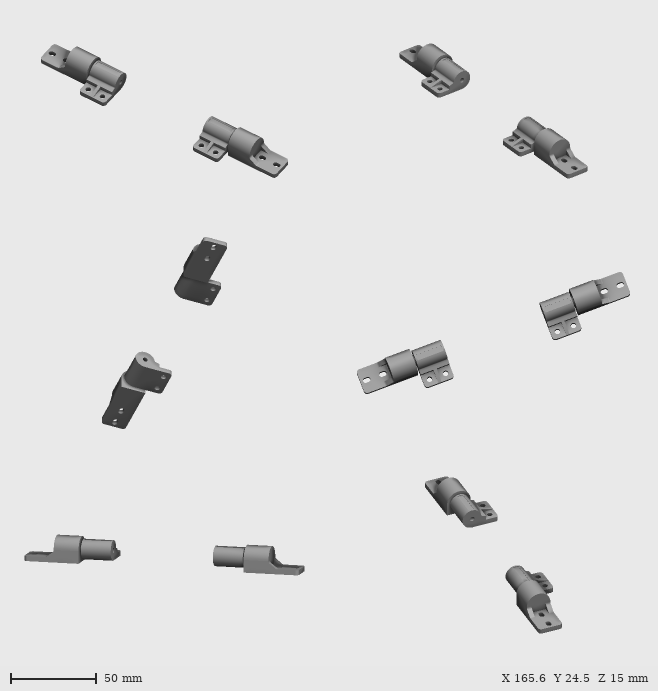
import cadquery as cq

OVERALL_LENGTH = 165.62
GAP = 1.0

HOUSING_LENGTH = 33.0
HOUSING_WIDTH = 15.0
HOUSING_HEIGHT = 15.0
BLOCK_LENGTH = 15.0
PLATE_THICKNESS = 3.0
CORNER_RADIUS = 2.0
PIVOT_DIAMETER = 6.0

SLOT_WIDTH = 3.0
SLOT_LENGTH = 4.5
SLOT_FIRST = 3.85
HOLE_PITCH = 10.0

GUSSET_WIDTH = 3.0
GUSSET_LENGTH = 4.7
GUSSET_HEIGHT = 3.65
GUSSET_FILLET = 1.6

LEAF_LENGTH = 18.0
BARREL_RADIUS = 6.0
FLANGE_REACH = 17.0
FLANGE_THICKNESS = 3.0
FLANGE_ROOT_RISE = 2.5
PAD_DEPTH = 8.0
RIB_WIDTH = 2.0
ROOT_FILLET = 0.7
SCREW_HOLE_DIAMETER = 3.2
SCREW_HOLE_INSET = 4.0
BORE_DIAMETER = 3.0
BORE_DEPTH = 10.0

RECESS_MARGIN = 1.0
RECESS_WIDTH = 3.5
RECESS_FLOOR = 5.5

EDGE_REACH = 0.5

AXIS_Z = HOUSING_HEIGHT - HOUSING_WIDTH / 2
HOUSING_START = -OVERALL_LENGTH / 2
HOUSING_END = HOUSING_START + HOUSING_LENGTH
BLOCK_START = HOUSING_END - BLOCK_LENGTH
LEAF_START = HOUSING_END + GAP
LEAF_MIDDLE = LEAF_START + LEAF_LENGTH / 2
FLANGE_BOTTOM = AXIS_Z - BARREL_RADIUS
FLANGE_TOP = FLANGE_BOTTOM + FLANGE_THICKNESS
PAD_INNER_Y = PAD_DEPTH - FLANGE_REACH


def box(x_start, x_end, y_start, y_end, z_start, z_end):
    size = (x_end - x_start, y_end - y_start, z_end - z_start)
    return cq.Workplane("XY").box(*size, centered=False).translate((x_start, y_start, z_start))


def rod(diameter, x_start, x_end):
    """Cylinder along the pivot axis."""
    end_plane = cq.Workplane("YZ", origin=(x_start, 0, AXIS_Z))
    return end_plane.circle(diameter / 2).extrude(x_end - x_start)


def make_gusset(y_start):
    """Sloping web, blended by fillets into strips that lie in the plate and in the block."""
    toe_x = BLOCK_START - GUSSET_LENGTH
    gusset = (
        cq.Workplane("XZ", origin=(0, y_start + GUSSET_WIDTH, 0))
        .moveTo(toe_x - GUSSET_FILLET, 0)
        .lineTo(toe_x - GUSSET_FILLET, PLATE_THICKNESS)
        .lineTo(toe_x, PLATE_THICKNESS)
        .lineTo(BLOCK_START, PLATE_THICKNESS + GUSSET_HEIGHT)
        .lineTo(BLOCK_START, AXIS_Z)
        .lineTo(HOUSING_END, AXIS_Z)
        .lineTo(HOUSING_END, 0)
        .close()
        .extrude(GUSSET_WIDTH)
    )
    slope_ends = cq.selectors.BoxSelector(
        (toe_x - EDGE_REACH, y_start, PLATE_THICKNESS - EDGE_REACH),
        (BLOCK_START + EDGE_REACH, y_start + GUSSET_WIDTH, PLATE_THICKNESS + GUSSET_HEIGHT + EDGE_REACH),
    )
    return gusset.edges("|Y").edges(slope_ends).fillet(GUSSET_FILLET)


def make_housing():
    half_width = HOUSING_WIDTH / 2
    plate = box(HOUSING_START, HOUSING_END, -half_width, half_width, 0, PLATE_THICKNESS)
    plate = plate.edges("|Z and <X").fillet(CORNER_RADIUS)
    block = box(BLOCK_START, HOUSING_END, -half_width, half_width, 0, AXIS_Z)
    housing = plate.union(block).union(rod(HOUSING_WIDTH, BLOCK_START, HOUSING_END))

    for y_start in (-half_width, half_width - GUSSET_WIDTH):
        housing = housing.union(make_gusset(y_start))

    slot_x = HOUSING_START + SLOT_FIRST
    slots = (
        cq.Workplane("XY")
        .pushPoints([(slot_x, 0), (slot_x + HOLE_PITCH, 0)])
        .slot2D(SLOT_LENGTH, SLOT_WIDTH)
        .extrude(PLATE_THICKNESS)
    )
    pivot = rod(PIVOT_DIAMETER, HOUSING_END, LEAF_START)
    return housing.cut(slots).union(pivot)


def make_leaf():
    leaf_end = LEAF_START + LEAF_LENGTH
    slope = FLANGE_ROOT_RISE / PAD_DEPTH
    rise_at_axis = slope * FLANGE_REACH
    flange = (
        cq.Workplane("YZ", origin=(LEAF_START, 0, 0))
        .moveTo(0, FLANGE_BOTTOM)
        .lineTo(-FLANGE_REACH, FLANGE_BOTTOM)
        .lineTo(-FLANGE_REACH, FLANGE_TOP)
        .lineTo(0, FLANGE_TOP + rise_at_axis)
        .close()
        .extrude(LEAF_LENGTH)
    )
    leaf = flange.union(rod(2 * BARREL_RADIUS, LEAF_START, leaf_end))
    root = cq.selectors.BoxSelector(
        (LEAF_START, -BARREL_RADIUS - EDGE_REACH, AXIS_Z),
        (leaf_end, -BARREL_RADIUS + EDGE_REACH, FLANGE_TOP + rise_at_axis),
    )
    leaf = leaf.edges("|X").edges(root).fillet(ROOT_FILLET)
    leaf = leaf.edges("|Z and <Y").fillet(CORNER_RADIUS)

    half_rib = RIB_WIDTH / 2
    for x_start, x_end in ((LEAF_START, LEAF_MIDDLE - half_rib), (LEAF_MIDDLE + half_rib, leaf_end)):
        leaf = leaf.cut(box(x_start, x_end, -FLANGE_REACH, PAD_INNER_Y, FLANGE_TOP, HOUSING_HEIGHT))

    hole_y = SCREW_HOLE_INSET - FLANGE_REACH
    hole_x = LEAF_START + SCREW_HOLE_INSET
    holes = (
        cq.Workplane("XY", origin=(0, 0, FLANGE_BOTTOM))
        .pushPoints([(hole_x, hole_y), (hole_x + HOLE_PITCH, hole_y)])
        .circle(SCREW_HOLE_DIAMETER / 2)
        .extrude(FLANGE_THICKNESS)
    )
    recess = box(
        LEAF_START + RECESS_MARGIN,
        leaf_end - RECESS_MARGIN,
        -RECESS_WIDTH / 2,
        RECESS_WIDTH / 2,
        AXIS_Z + RECESS_FLOOR,
        HOUSING_HEIGHT,
    )
    bore = rod(BORE_DIAMETER, leaf_end - BORE_DEPTH, leaf_end)
    return leaf.cut(holes).cut(recess).cut(bore)


bodies = []
for body in (make_housing(), make_leaf()):
    bodies += [body.val(), body.mirror("YZ").val()]

result = cq.Compound.makeCompound(bodies)